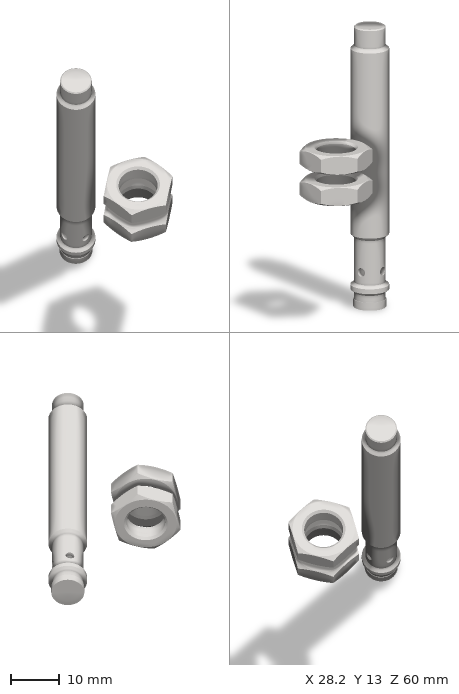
import cadquery as cq
import math

SENSOR_LENGTH = 60.0
OVERALL_WIDTH = 28.2
BARREL_RADIUS = 8.0 / 2
NECK_RADIUS = 6.5 / 2
PLUG_LIP_RADIUS = 6.8 / 2
PLUG_LIP_HEIGHT = 1.7
COLLAR_BOTTOM = 3.1
COLLAR_TOP = 5.35
BARREL_BOTTOM = 14.9
BARREL_TOP = 55.95
SHOULDER_BEVEL = 0.7
COLLAR_BEVEL = 0.6
FACE_CHAMFER = 0.25

WINDOW_DIAMETERS = [1.8, 1.8, 2.0, 1.8]
WINDOW_HEIGHT = 8.0
WINDOW_START_ANGLE = -9.0
WINDOW_FLOOR_RADIUS = 5.0 / 2

NUT_COUNT = 2
NUT_ACROSS_FLATS = 12.95
NUT_ACROSS_CORNERS = NUT_ACROSS_FLATS / math.cos(math.radians(30))
NUT_THICKNESS = 4.0
NUT_BORE_RADIUS = BARREL_RADIUS
NUT_BORE_CHAMFER = 0.5
NUT_FACE_RADIUS = 12.7 / 2
NUT_BEVEL_ANGLE = 30.0
NUT_CENTER_X = OVERALL_WIDTH - BARREL_RADIUS - NUT_ACROSS_CORNERS / 2
LOWER_NUT_BOTTOM = 27.9
NUT_PITCH = 6.65


def make_sensor_profile():
    """Revolve the stepped outline of the sensor around Z."""
    outline = [
        (0, 0),
        (PLUG_LIP_RADIUS, 0),
        (PLUG_LIP_RADIUS, PLUG_LIP_HEIGHT),
        (NECK_RADIUS, PLUG_LIP_HEIGHT),
        (NECK_RADIUS, COLLAR_BOTTOM),
        (BARREL_RADIUS, COLLAR_BOTTOM + COLLAR_BEVEL),
        (BARREL_RADIUS, COLLAR_TOP - COLLAR_BEVEL),
        (NECK_RADIUS, COLLAR_TOP),
        (NECK_RADIUS, BARREL_BOTTOM),
        (BARREL_RADIUS, BARREL_BOTTOM + SHOULDER_BEVEL),
        (BARREL_RADIUS, BARREL_TOP - SHOULDER_BEVEL),
        (NECK_RADIUS, BARREL_TOP),
        (NECK_RADIUS, SENSOR_LENGTH - FACE_CHAMFER),
        (NECK_RADIUS - FACE_CHAMFER, SENSOR_LENGTH),
        (0, SENSOR_LENGTH),
    ]
    return cq.Workplane("XZ").polyline(outline).close().revolve(360, (0, 0), (0, 1))


def make_window_cutter(diameter, angle):
    """Radial cylinder that ends on the round floor of a window."""
    cutter = (
        cq.Workplane("YZ")
        .center(0, WINDOW_HEIGHT)
        .circle(diameter / 2)
        .extrude(BARREL_RADIUS)
    )
    core = (
        cq.Workplane("XY")
        .workplane(offset=WINDOW_HEIGHT - diameter)
        .circle(WINDOW_FLOOR_RADIUS)
        .extrude(2 * diameter)
    )
    return cutter.cut(core).rotate((0, 0, 0), (0, 0, 1), angle)


def make_sensor():
    sensor = make_sensor_profile()
    for index, diameter in enumerate(WINDOW_DIAMETERS):
        angle = WINDOW_START_ANGLE + index * 360 / len(WINDOW_DIAMETERS)
        sensor = sensor.cut(make_window_cutter(diameter, angle))
    return sensor


def make_nut(bottom):
    """Hexagonal nut with bevelled corners and a bore chamfered at both ends."""
    hexagon = cq.Workplane("XY").polygon(6, NUT_ACROSS_CORNERS).extrude(NUT_THICKNESS)
    corner_radius = NUT_ACROSS_CORNERS / 2
    bevel_height = (corner_radius - NUT_FACE_RADIUS) * math.tan(math.radians(NUT_BEVEL_ANGLE))
    bore_mouth_radius = NUT_BORE_RADIUS + NUT_BORE_CHAMFER
    ring_section = [
        (bore_mouth_radius, 0),
        (NUT_FACE_RADIUS, 0),
        (corner_radius, bevel_height),
        (corner_radius, NUT_THICKNESS - bevel_height),
        (NUT_FACE_RADIUS, NUT_THICKNESS),
        (bore_mouth_radius, NUT_THICKNESS),
        (NUT_BORE_RADIUS, NUT_THICKNESS - NUT_BORE_CHAMFER),
        (NUT_BORE_RADIUS, NUT_BORE_CHAMFER),
    ]
    ring = cq.Workplane("XZ").polyline(ring_section).close().revolve(360, (0, 0), (0, 1))
    return hexagon.intersect(ring).translate((NUT_CENTER_X, 0, bottom))


sensor = make_sensor()
nuts = [make_nut(LOWER_NUT_BOTTOM + index * NUT_PITCH) for index in range(NUT_COUNT)]

result = cq.Compound.makeCompound([sensor.val(), *[nut.val() for nut in nuts]])